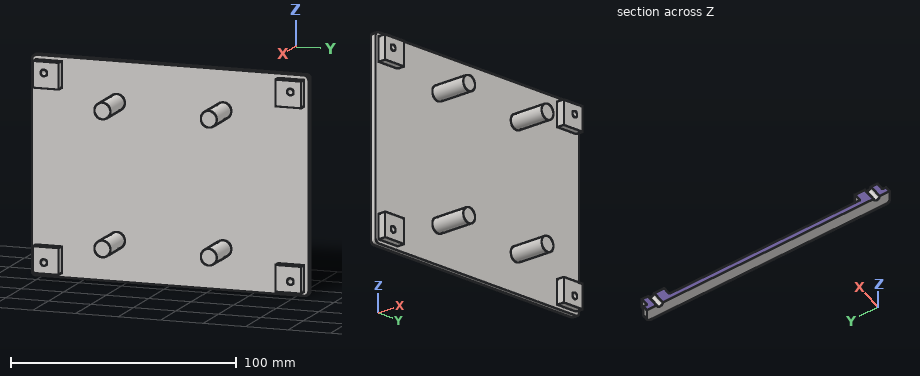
import cadquery as cq

plate_thickness = 3.0
plate_width = 130.0
plate_height = 100.0
corner_radius = 2.0

pad_size = 12.1
pad_height = 4.0
pad_inset = 2.0
hole_diameter = 3.0
hole_edge_distance = 7.0

overall_depth = 22.0
standoff_diameter = 7.5
standoff_length = overall_depth - plate_thickness
standoff_spacing_y = 50.0
standoff_spacing_z = 62.5


def rectangle_corners(spacing_y, spacing_z):
    """Four points centred on the plate, as (Y, Z) pairs."""
    return [(y * spacing_y / 2, z * spacing_z / 2) for y in (-1, 1) for z in (-1, 1)]


def make_plate():
    return (
        cq.Workplane("YZ")
        .rect(plate_width, plate_height)
        .extrude(plate_thickness)
        .edges("|X")
        .fillet(corner_radius)
    )


def make_pads():
    edge_to_centre = pad_inset + pad_size / 2
    centres = rectangle_corners(plate_width - 2 * edge_to_centre, plate_height - 2 * edge_to_centre)
    return (
        cq.Workplane("YZ", origin=(plate_thickness, 0, 0))
        .pushPoints(centres)
        .rect(pad_size, pad_size)
        .extrude(pad_height)
    )


def make_standoffs():
    return (
        cq.Workplane("YZ", origin=(plate_thickness, 0, 0))
        .pushPoints(rectangle_corners(standoff_spacing_y, standoff_spacing_z))
        .circle(standoff_diameter / 2)
        .extrude(standoff_length)
    )


def make_screw_holes():
    centres = rectangle_corners(plate_width - 2 * hole_edge_distance, plate_height - 2 * hole_edge_distance)
    return (
        cq.Workplane("YZ")
        .pushPoints(centres)
        .circle(hole_diameter / 2)
        .extrude(plate_thickness + pad_height)
    )


result = make_plate().union(make_pads()).union(make_standoffs()).cut(make_screw_holes())